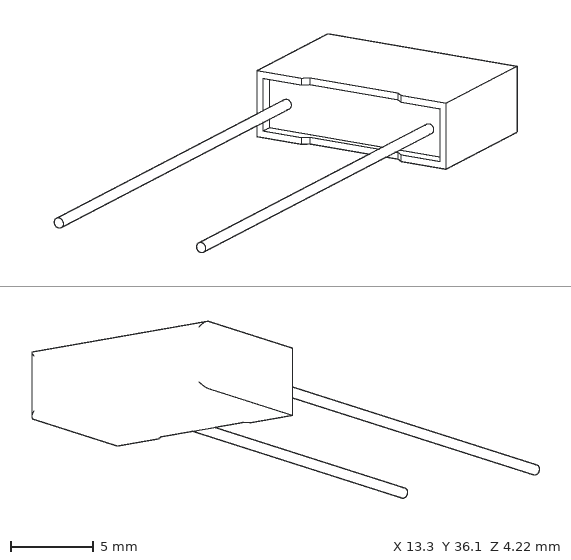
import cadquery as cq

total_length = 36.1
box_width = 13.3
box_height = 4.22
box_length = 9.05
wall = 0.45
back_edge_radius = 0.47

notch_depth = 0.32
notch_rim_width = 7.0
notch_floor_width = 6.2

resin_recess = 0.8
lead_diameter = 0.65
lead_spacing = 10.0

cavity_width = box_width - 2 * wall
cavity_height = box_height - 2 * wall
cavity_depth = box_length - wall
lead_length = total_length - box_length + resin_recess


def block(width, height, front_y, back_y):
    """Box centred on the Y axis, running from front_y to back_y."""
    length = back_y - front_y
    return cq.Workplane("XY").box(width, length, height).translate((0, front_y + length / 2, 0))


def make_housing():
    """Cup with rounded back edges and a shallow notch in both long rims."""
    shell = block(box_width, box_height, 0, box_length).faces(">Y").edges().fillet(back_edge_radius)
    cavity = block(cavity_width, cavity_height, 0, cavity_depth)
    notch = (
        cq.Workplane("XY")
        .polyline([
            (-notch_rim_width / 2, 0),
            (notch_rim_width / 2, 0),
            (notch_floor_width / 2, notch_depth),
            (-notch_floor_width / 2, notch_depth),
        ])
        .close()
        .extrude(box_height / 2, both=True)
    )
    return shell.cut(cavity).cut(notch)


def make_resin():
    """Resin that fills the cavity up to its recessed face."""
    return block(cavity_width, cavity_height, resin_recess, cavity_depth)


def make_lead(x):
    """Straight round wire that starts on the resin face and runs toward -Y."""
    resin_face = cq.Workplane("XZ", origin=(x, resin_recess, 0))
    return resin_face.circle(lead_diameter / 2).extrude(lead_length)


housing = make_housing()
resin = make_resin()
leads = []
for side in (-1, 1):
    leads.append(make_lead(side * lead_spacing / 2).val())

result = cq.Compound.makeCompound([housing.val(), resin.val(), *leads])